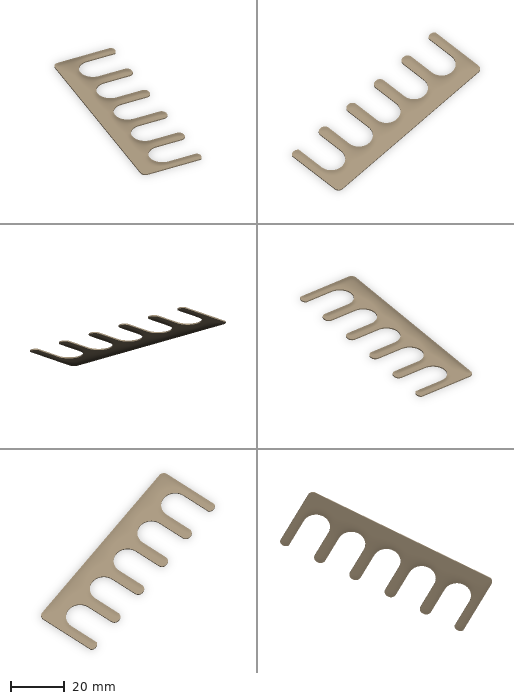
import cadquery as cq
import math

length = 78.0
width = 25.0
thickness = 0.5

slot_count = 5
slot_width = 10.5
slot_depth = 17.9
end_finger_width = 3.75
slot_radius = slot_width / 2
slot_pitch = (length - 2 * end_finger_width - slot_width) / (slot_count - 1)
inner_finger_width = slot_pitch - slot_width

corner_radius = 2.0
end_tip_radius = 2.35
end_half_width = end_finger_width / 2
end_tip_rise = end_tip_radius - math.sqrt(end_tip_radius**2 - end_half_width**2)

right_x = length / 2
tip_y = width / 2
back_y = -width / 2
slot_bottom_y = tip_y - slot_depth
slot_centre_y = slot_bottom_y + slot_radius


def add_end_tip(outline, left):
    """Run up the left side of an end finger and over its shallow tip arc."""
    shoulder_y = tip_y - end_tip_rise
    outline = outline.lineTo(left, shoulder_y)
    return outline.threePointArc(
        (left + end_half_width, tip_y),
        (left + end_finger_width, shoulder_y),
    )


def add_inner_tip(outline, left):
    """Run up the left side of an inner finger and over its filleted tip."""
    right = left + inner_finger_width
    shoulder_y = tip_y - corner_radius
    outline = outline.lineTo(left, shoulder_y)
    outline = outline.tangentArcPoint((left + corner_radius, tip_y), relative=False)
    outline = outline.lineTo(right - corner_radius, tip_y)
    return outline.tangentArcPoint((right, shoulder_y), relative=False)


def add_slot(outline, left):
    """Run down the left side of a slot and around its semicircular bottom."""
    outline = outline.lineTo(left, slot_centre_y)
    return outline.threePointArc(
        (left + slot_radius, slot_bottom_y),
        (left + slot_width, slot_centre_y),
    )


def make_comb():
    outline = cq.Workplane("XY", origin=(0, 0, -thickness / 2)).moveTo(-right_x, back_y)
    outline = add_end_tip(outline, -right_x)
    for index in range(slot_count):
        slot_left = -right_x + end_finger_width + index * slot_pitch
        outline = add_slot(outline, slot_left)
        if index < slot_count - 1:
            outline = add_inner_tip(outline, slot_left + slot_width)
    outline = add_end_tip(outline, right_x - end_finger_width)
    return outline.lineTo(right_x, back_y).close().extrude(thickness)


result = make_comb().edges("|Z").edges("<Y").fillet(corner_radius)